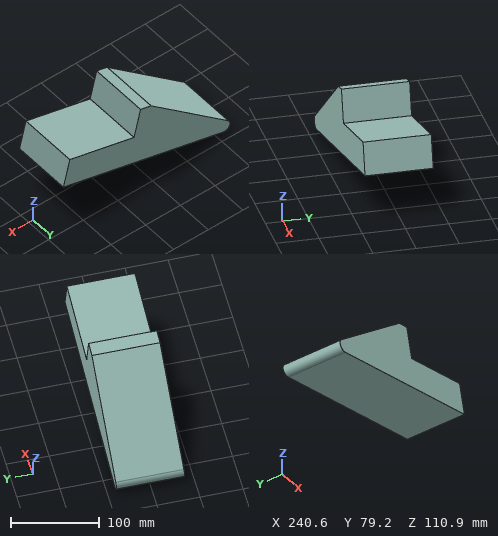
import cadquery as cq
import math

tilt = 13.7
width = 79.2
nose_radius = 8.0
base_length = 237.5
seat_length = 95.3
seat_height = 39.5
land_length = 15.6
land_height = 79.2

step_at = base_length - seat_length
land_start = step_at - land_length

land_above_centre = land_height - nose_radius
centre_to_land = math.hypot(land_start, land_above_centre)
ramp_angle = math.atan2(land_above_centre, land_start) - math.asin(nose_radius / centre_to_land)
nose_top = (
    -nose_radius * math.sin(ramp_angle),
    nose_radius + nose_radius * math.cos(ramp_angle),
)

nose_mid_angle = (math.pi / 2 + ramp_angle + 3 * math.pi / 2) / 2
nose_mid = (
    nose_radius * math.cos(nose_mid_angle),
    nose_radius + nose_radius * math.sin(nose_mid_angle),
)

wedge = (
    cq.Workplane("XZ")
    .moveTo(0, 0)
    .lineTo(base_length, 0)
    .lineTo(base_length, seat_height)
    .lineTo(step_at, seat_height)
    .lineTo(step_at, land_height)
    .lineTo(land_start, land_height)
    .lineTo(*nose_top)
    .threePointArc(nose_mid, (0, 0))
    .close()
    .extrude(width / 2, both=True)
)

result = wedge.rotate((0, 0, 0), (0, 1, 0), -tilt)